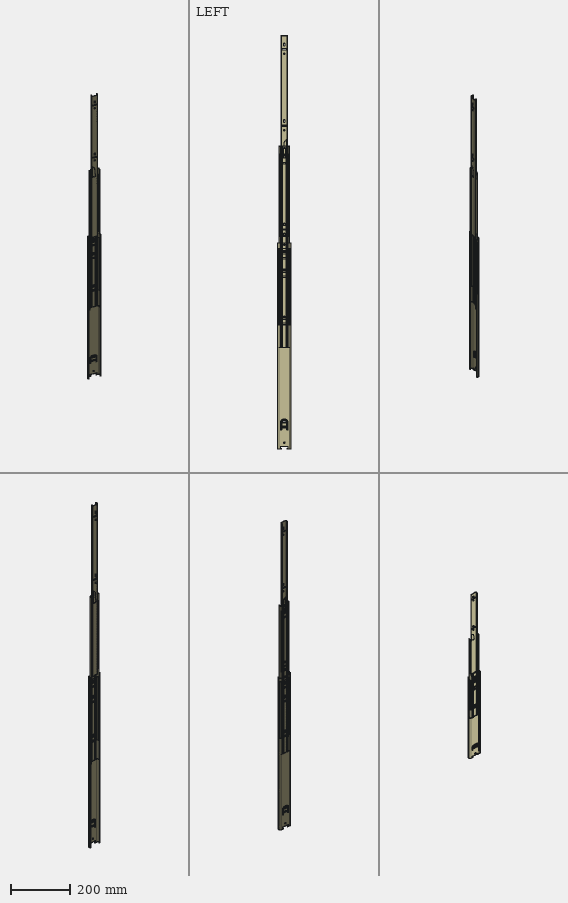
import cadquery as cq
import math

sheet = 1.0
half_sheet = sheet / 2
overall_width = 46.98
overall_depth = 13.0
overall_length = 1400.0

outer_top = 698.0
outer_back = half_sheet
outer_front = 10.0
outer_bend = 5.5
outer_side = overall_width / 2 - half_sheet
outer_side_taper = 0.3
outer_lip = 3.0

middle_bottom = 344.0
middle_top = 1026.0
middle_back = 2.25
middle_front = 11.9
middle_side = 18.0
middle_bend = 2.5
groove_depth = 0.8
groove_half_width = 5.5
groove_slope = 2.0
step_start = 10.5
step_end = 12.5
step_back = 3.5

inner_bottom = 700.0
inner_front = overall_depth - half_sheet
inner_back = 4.8
inner_side = 10.9
inner_bend = 2.2
inner_lip = 1.2
raceway_center = 6.8
raceway_half_width = 1.5
raceway_depth = 1.6

cage_sheet = 0.5
outer_cage_bottom = 420.0
outer_cage_top = 680.0
outer_cage_back = 1.35
outer_cage_web = 16.5
outer_cage_side = 20.0
outer_cage_side_back = 4.5
outer_cage_front = 8.5
inner_cage_bottom = 720.0
inner_cage_top = 1000.0
inner_cage_back = 3.9
inner_cage_web = 11.0
inner_cage_side = 14.0
inner_cage_side_back = 6.0
inner_cage_front = 10.5

hole_size = 4.5
upright_length = 9.0
cross_length = 17.0
cross_height = 3.5
hole_pitch = 15.5
inner_group_heights = [1354.0, 1095.0]

middle_upright_heights = [990.0, 761.0, 727.0]
middle_cross_heights = [968.0, 743.0]
middle_cross_length = 10.0
lever_window_height = 1009.0
lever_window_length = 24.0
lever_window_width = 7.0

tab_tops = [673.0, 610.0, 450.0, 101.0]
tab_width = 25.0
tab_height = 36.0
tab_crown_flat = 2.0
tab_slit = 3.4
tab_slot_length = 14.0
tab_slot_height = 5.0
tab_slot_drops = [9.0, 26.0]
outer_hole_heights = [692.0, 22.0]
notch_width = 25.0
notch_mouth_width = 18.0
notch_height = 8.5
notch_mouth_height = 3.0

lever_bottom = 998.0
lever_top = 1048.0
lever_shoulder = 1040.0
lever_thickness = 3.0
lever_side = -8.0
lever_nose = 3.0


def tangent_point(corner, neighbour, setback):
    """Point on the line from corner to neighbour at the given distance from the corner."""
    length = math.dist(corner, neighbour)
    return tuple(c + (n - c) * setback / length for c, n in zip(corner, neighbour))


def bent_sheet(half_path, thickness, bottom, top):
    """Sheet symmetric about Y = 0, from its centreline corners (x, y, bend radius) on the +Y side."""
    corners = [(x, -y, r) for x, y, r in reversed(half_path)] + half_path
    points = [(x, y) for x, y, _ in corners]
    path = cq.Workplane("XY", origin=(0, 0, bottom)).moveTo(*points[0])
    for before, corner, after, bend in zip(points, points[1:], points[2:], corners[1:]):
        radius = bend[2]
        if radius == 0:
            path = path.lineTo(*corner)
            continue
        toward = [tangent_point(corner, p, 1) for p in (before, after)]
        chord = math.dist(*toward)
        half_angle = math.asin(chord / 2)
        setback = radius / math.tan(half_angle)
        bisector = tuple((a + b) / 2 for a, b in zip(*toward))
        crown = tangent_point(corner, bisector, radius / math.sin(half_angle) - radius)
        path = path.lineTo(*tangent_point(corner, before, setback))
        path = path.threePointArc(crown, tangent_point(corner, after, setback))
    path = path.lineTo(*points[-1])
    return path.offset2D(thickness / 2).extrude(top - bottom)


def face_plane(height):
    """Sketch plane at X = 0 facing +X: local x runs along +Y, local y along +Z."""
    return cq.Workplane("YZ", origin=(0, 0, height))


def upright_slot(height, length, width):
    return face_plane(height).slot2D(length, width, 90).extrude(overall_depth)


def cross_slot(height, length, width):
    return face_plane(height).slot2D(length, width).extrude(overall_depth)


def round_hole(height):
    return face_plane(height).circle(hole_size / 2).extrude(overall_depth)


def tab_slab(top, width):
    slab = face_plane(top - tab_height / 2).rect(width, tab_height).extrude(sheet)
    return slab.edges("|X and >Z").fillet((width - tab_crown_flat) / 2)


def tab_cut(top):
    """U-shaped slit around a tongue that stays joined at its lower end, with two slots in it."""
    slit = tab_slab(top, tab_width).cut(tab_slab(top - tab_slit, tab_width - 2 * tab_slit))
    for drop in tab_slot_drops:
        slit = slit.union(cross_slot(top - drop, tab_slot_length, tab_slot_height))
    return slit


def end_notch():
    """Notch at the lower end of the outer web, narrower at its mouth."""
    full_height = notch_height - notch_mouth_height
    pocket = face_plane(notch_mouth_height + full_height / 2).rect(notch_width, full_height).extrude(sheet)
    mouth = face_plane(notch_mouth_height / 2).rect(notch_mouth_width, notch_mouth_height).extrude(sheet)
    return pocket.union(mouth)


def make_outer_rail():
    half_path = [
        (outer_back, outer_side - outer_side_taper, outer_bend),
        (outer_front, outer_side, 0),
        (outer_front, outer_side - outer_lip, 0),
    ]
    rail = bent_sheet(half_path, sheet, 0, outer_top)
    for top in tab_tops:
        rail = rail.cut(tab_cut(top))
    for height in outer_hole_heights:
        rail = rail.cut(round_hole(height))
    return rail.cut(end_notch())


def make_middle_rail():
    half_path = [
        (middle_back + groove_depth, groove_half_width, 0),
        (middle_back, groove_half_width + groove_slope, 0),
        (middle_back, step_start, 0),
        (step_back, step_end, 0),
        (step_back, middle_side, middle_bend),
        (middle_front, middle_side, 0),
    ]
    rail = bent_sheet(half_path, sheet, middle_bottom, middle_top)
    for height in middle_upright_heights:
        rail = rail.cut(upright_slot(height, upright_length, hole_size))
    for height in middle_cross_heights:
        rail = rail.cut(cross_slot(height, middle_cross_length, cross_height))
    return rail.cut(upright_slot(lever_window_height, lever_window_length, lever_window_width))


def make_inner_rail():
    half_path = [
        (inner_front, inner_side, inner_bend),
        (raceway_center + raceway_half_width, inner_side, 0),
        (raceway_center, inner_side - raceway_depth, 0),
        (raceway_center - raceway_half_width, inner_side, 0),
        (inner_back, inner_side, 0),
        (inner_back, inner_side - inner_lip, 0),
    ]
    rail = bent_sheet(half_path, sheet, inner_bottom, overall_length)
    for height in inner_group_heights:
        rail = rail.cut(upright_slot(height + hole_pitch, upright_length, hole_size))
        rail = rail.cut(cross_slot(height, cross_length, cross_height))
        rail = rail.cut(round_hole(height - hole_pitch))
    return rail


def make_outer_cage():
    half_path = [
        (outer_cage_back, outer_cage_web, 0),
        (outer_cage_side_back, outer_cage_side, 0),
        (outer_cage_front, outer_cage_side, 0),
    ]
    return bent_sheet(half_path, cage_sheet, outer_cage_bottom, outer_cage_top)


def make_inner_cage():
    half_path = [
        (inner_cage_back, inner_cage_web, 0),
        (inner_cage_side_back, inner_cage_side, 0),
        (inner_cage_front, inner_cage_side, 0),
    ]
    return bent_sheet(half_path, cage_sheet, inner_cage_bottom, inner_cage_top)


def make_release_lever():
    outline = [
        (lever_side, lever_bottom),
        (lever_nose, lever_bottom),
        (0, lever_shoulder),
        (lever_side, lever_top),
    ]
    lever_back = overall_depth - sheet - lever_thickness
    return cq.Workplane("YZ", origin=(lever_back, 0, 0)).polyline(outline).close().extrude(lever_thickness)


outer_rail = make_outer_rail()
middle_rail = make_middle_rail()
inner_rail = make_inner_rail()
outer_cage = make_outer_cage()
inner_cage = make_inner_cage()
release_lever = make_release_lever()

bodies = [outer_rail, middle_rail, inner_rail, outer_cage, inner_cage, release_lever]
result = cq.Compound.makeCompound([body.solids().val() for body in bodies])